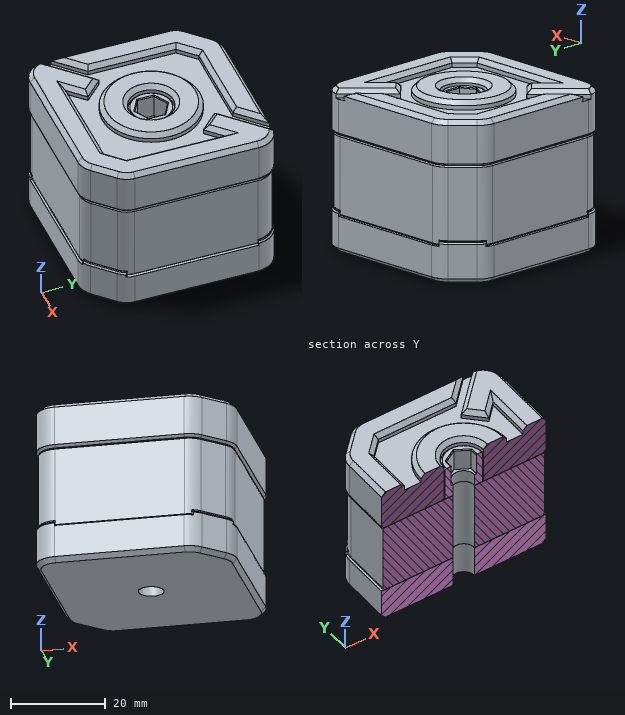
import cadquery as cq
import math

width = 42.3
height = 36.0
base_height = 8.1
land_height = 0.95
cap_height = 10.05
corner_radius = 5.0
corner_cut = 7.28
edge_chamfer = 1.0
cap_lip_chamfer = 0.55
housing_inset = 0.4
joint_chamfer = 0.35

half = width / 2
land_top = base_height + land_height
cap_bottom = height - cap_height

recess_depth = 2.0
recess_half = 15.15
recess_cut = 26.55
recess_chamfer = 1.0
tongue_edge = 4.2
tongue_end = 18.82
slot_edge = 6.65
slot_reach = 25.4

boss_diameter = 22.0
boss_chamfer = 1.0
screw_hole_diameter = 10.0
screw_hole_chamfer = 1.0
screw_diameter = 9.8
screw_chamfer = 0.4
screw_sink = 1.5
socket_flats = 6.4
socket_depth = 5.5
socket_chamfer = 0.2
bore_diameter = 5.4

recess_floor = height - recess_depth
screw_top = height - screw_sink


def block(bottom, top, inset=0.0):
    """Square prism with two rounded corners and two cut corners with rounded ends."""
    side = half - inset
    radius = corner_radius - inset
    cut = corner_cut - inset * (2 - math.sqrt(2))
    points = [
        (-side, -side),
        (side - cut, -side),
        (side, -side + cut),
        (side, side),
        (-side + cut, side),
        (-side, side - cut),
    ]
    prism = cq.Workplane("XY").workplane(offset=bottom).polyline(points).close().extrude(top - bottom)
    return prism.edges("|Z").fillet(radius)


def cylinder(diameter, bottom, top):
    return cq.Workplane("XY").workplane(offset=bottom).circle(diameter / 2).extrude(top - bottom)


def cone(bottom_diameter, top_diameter, bottom, top):
    lower = cq.Workplane("XY").workplane(offset=bottom).circle(bottom_diameter / 2)
    return lower.workplane(offset=top - bottom).circle(top_diameter / 2).loft()


def land_zone():
    """Columns over the four corners where the base is raised and the housing notched."""
    corner_centre = half - corner_radius / 2
    rounded = (
        cq.Workplane("XY")
        .pushPoints([(-corner_centre, -corner_centre), (corner_centre, corner_centre)])
        .rect(corner_radius, corner_radius)
        .extrude(height)
    )
    flat_distance = (width - corner_cut) / math.sqrt(2)
    strip_centre = flat_distance - corner_radius / 2
    cut = (
        cq.Workplane("XY")
        .transformed(rotate=(0, 0, -45))
        .pushPoints([(-strip_centre, 0), (strip_centre, 0)])
        .rect(corner_radius, 2 * corner_radius)
        .extrude(height)
    )
    return rounded.union(cut)


def bore():
    return cylinder(bore_diameter, 0, height)


def make_base():
    rim = block(0, base_height).faces("<Z").chamfer(edge_chamfer)
    raised = block(base_height / 2, land_top).faces(">Z").chamfer(joint_chamfer)
    lands = raised.intersect(land_zone())
    return rim.union(lands).cut(bore())


def make_housing():
    upper = block(land_top, cap_bottom, housing_inset).faces("<Z or >Z").chamfer(joint_chamfer)
    mid_height = (land_top + cap_bottom) / 2
    skirt = block(base_height, mid_height, housing_inset).faces("<Z").chamfer(joint_chamfer)
    return upper.union(skirt.cut(land_zone())).cut(bore())


def recess_outline(spread):
    """Outline of the recess with every wall moved outward by spread."""
    wall = recess_half + spread
    diagonal_spread = spread * math.sqrt(2)
    cut = recess_cut + diagonal_spread
    slot = slot_edge + diagonal_spread
    tongue = tongue_edge - diagonal_spread
    tip = tongue_end + diagonal_spread
    upper_right = [
        (wall - cut, wall),
        (wall - slot, wall),
        (slot_reach - slot, slot_reach),
        (slot_reach - tongue, slot_reach),
        ((tip - tongue) / 2, (tip + tongue) / 2),
        ((tip + tongue) / 2, (tip - tongue) / 2),
        (wall, wall - tongue),
        (wall, wall - cut),
    ]
    lower_left = [(-y, -x) for x, y in reversed(upper_right)]
    return upper_right + lower_left


def recess_cutter():
    """Recess with tongues and corner slots; its walls slope outward in the upper part."""
    straight_depth = recess_depth - recess_chamfer
    plan = cq.Workplane("XY").workplane(offset=recess_floor).polyline(recess_outline(0)).close()
    straight = plan.extrude(straight_depth)
    sloped = (
        cq.Workplane("XY")
        .workplane(offset=recess_floor + straight_depth)
        .polyline(recess_outline(0))
        .close()
        .workplane(offset=recess_chamfer)
        .polyline(recess_outline(recess_chamfer))
        .close()
        .loft(ruled=True)
    )
    return straight.union(sloped)


def make_cap():
    body = block(cap_bottom, height).faces(">Z").chamfer(edge_chamfer)
    body = body.faces("<Z").chamfer(cap_lip_chamfer)
    boss = cylinder(boss_diameter, recess_floor, height).faces(">Z").chamfer(boss_chamfer)
    body = body.cut(recess_cutter()).union(boss)
    countersink = cone(
        screw_hole_diameter,
        screw_hole_diameter + 2 * screw_hole_chamfer,
        height - screw_hole_chamfer,
        height,
    )
    return body.cut(cylinder(screw_hole_diameter, cap_bottom, height)).cut(countersink)


def hexagon(bottom):
    """Socket outline at the given height, with corners on the Y axis."""
    across_corners = socket_flats / math.cos(math.pi / 6)
    plane = cq.Workplane("XY").workplane(offset=bottom)
    return plane.transformed(rotate=(0, 0, 90)).polygon(6, across_corners)


def make_screw():
    """Hollow screw with a hexagon socket, resting on the housing."""
    body = cylinder(screw_diameter, cap_bottom, screw_top).faces(">Z").chamfer(screw_chamfer)
    socket = hexagon(screw_top - socket_depth).extrude(socket_depth)
    mouth = hexagon(screw_top - socket_chamfer).extrude(socket_chamfer, taper=-45)
    return body.cut(socket).cut(mouth).cut(bore())


base = make_base()
housing = make_housing()
cap = make_cap()
screw = make_screw()

result = cq.Compound.makeCompound([base.val(), housing.val(), cap.val(), screw.val()])